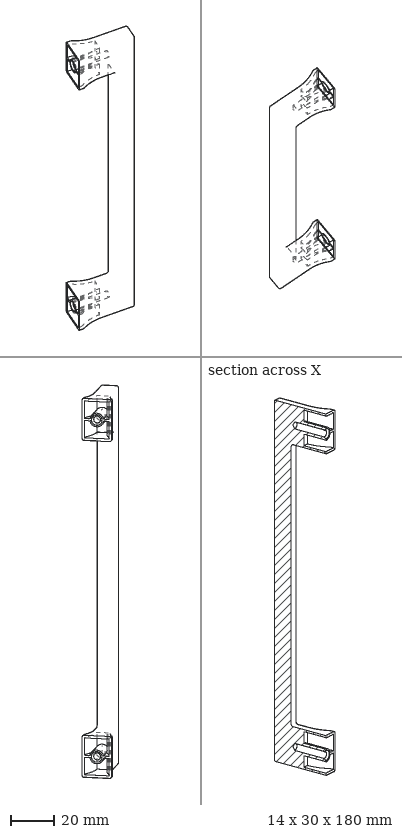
import cadquery as cq
import math

length = 180.0
depth = 30.0
foot_width = 14.0
foot_height = 20.0
grip_width = 8.5
grip_depth = 10.0

flare_start = 12.6
pad_depth = 2.3
pad_blend_radius = 2.0

edge_radius = 1.0
inner_corner_radius = 0.9

wall = 1.3
pocket_floor_width = 5.2
pocket_rim_depth = 1.8
pocket_depth = 12.6
pocket_blend_radius = 3.6

boss_radius = 3.2
hole_radius = 1.6
hole_mouth_radius = 2.5
hole_depth = 18.0
cone_tip_angle = 118.0
rib_thickness = 1.0

foot_centre_z = (length - foot_height) / 2
pocket_width = foot_width - 2 * wall
pocket_height = foot_height - 2 * wall


def flared_section(narrow, wide, rim, start, end):
    """XY outline, wide at Y = 0, that narrows along a concave arc tangent to Y at its start."""
    rise = wide - narrow
    run = start - rim
    arc_radius = (rise**2 + run**2) / (2 * rise)
    half_angle = math.asin(run / arc_radius) / 2
    middle_x = narrow + arc_radius * (1 - math.cos(half_angle))
    middle_y = start - arc_radius * math.sin(half_angle)
    outline = (
        cq.Workplane("XY")
        .moveTo(-wide, 0)
        .lineTo(wide, 0)
        .lineTo(wide, rim)
        .threePointArc((middle_x, middle_y), (narrow, start))
    )
    if end > start:
        outline = outline.lineTo(narrow, end).lineTo(-narrow, end)
    return (
        outline.lineTo(-narrow, start)
        .threePointArc((-middle_x, middle_y), (-wide, rim))
        .close()
    )


def blend_rim_edges(body, rim, radius):
    """Round the two vertical edges where the straight rim of a section meets its flare."""
    around_rim = cq.selectors.BoxSelector(
        (-foot_width, rim / 2, -length), (foot_width, 2 * rim, length)
    )
    return body.edges("|Z").edges(around_rim).fillet(radius)


def handle_body():
    """Flared bar with the hand gap cut out and its outer edges rounded."""
    section = flared_section(grip_width / 2, foot_width / 2, pad_depth, flare_start, depth)
    body = section.extrude(length / 2, both=True)

    body = blend_rim_edges(body, pad_depth, pad_blend_radius)

    gap_depth = depth - grip_depth
    gap = (
        cq.Workplane("XY")
        .box(foot_width, 2 * gap_depth, length - 2 * foot_height)
        .edges("|X and >Y")
        .fillet(inner_corner_radius)
    )
    body = body.cut(gap)
    return body.edges("not(<Y)").edges("not(|Z and (not >Y))").fillet(edge_radius)


def foot_pocket():
    """Flared hollow centred on Z = 0, open at Y = 0."""
    section = flared_section(
        pocket_floor_width / 2, pocket_width / 2, pocket_rim_depth, pocket_depth, pocket_depth
    )
    pocket = section.extrude(pocket_height / 2, both=True)
    return blend_rim_edges(pocket, pocket_rim_depth, pocket_blend_radius)


def boss_and_ribs():
    """Round boss with a rib to each side wall, flush with the open end of the foot."""
    boss = cq.Workplane("XZ").circle(boss_radius).extrude(-pocket_depth)
    ribs = cq.Workplane("XZ").rect(pocket_width, rib_thickness).extrude(-pocket_depth)
    return boss.union(ribs)


def pilot_hole():
    """Revolved drill shape with a 45 degree countersunk mouth and a conical tip."""
    mouth_depth = hole_mouth_radius - hole_radius
    tip_length = hole_radius / math.tan(math.radians(cone_tip_angle / 2))
    return (
        cq.Workplane("XY")
        .moveTo(0, 0)
        .lineTo(hole_mouth_radius, 0)
        .lineTo(hole_radius, mouth_depth)
        .lineTo(hole_radius, hole_depth)
        .lineTo(0, hole_depth + tip_length)
        .close()
        .revolve(360, (0, 0, 0), (0, 1, 0))
    )


hollow = foot_pocket().cut(boss_and_ribs()).union(pilot_hole())

result = handle_body()
for side in (-1, 1):
    result = result.cut(hollow.translate((0, 0, side * foot_centre_z)))